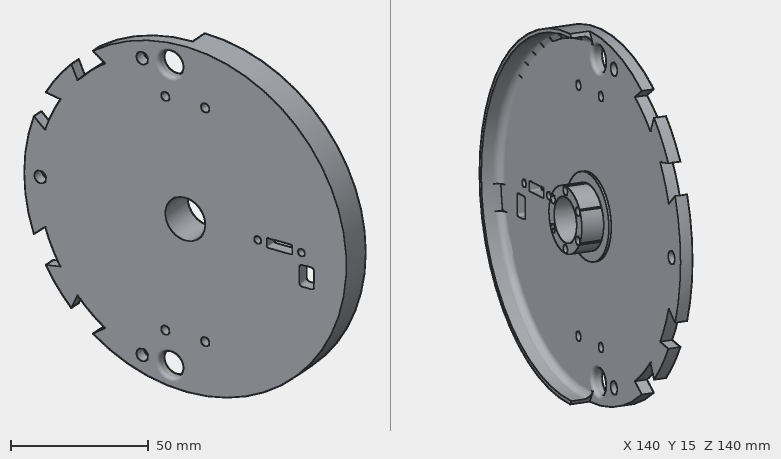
import cadquery as cq
import math

disc_radius = 70.0
plate_thickness = 5.0

rim_height = 13.0
rim_thickness = 1.5
rim_fillet = 3.0
rim_end_angle = 30.0

hub_radius = 12.65
hub_height = 15.0
pad_radius = 16.65
pad_height = 6.0
bore_radius = 8.65

hub_hole_count = 6
hub_hole_first_angle = 30.0
hub_hole_radius = 1.65
hub_hole_breakout = 0.02
hub_hole_circle_radius = hub_radius - hub_hole_radius + hub_hole_breakout

notch_root_radius = 64.0
notch_mouth_half_angle = 5.0
notch_root_half_angle = 7.0
notch_offsets = (25.0, 50.0)

large_hole_x = -6.5
large_hole_z = 61.0
large_hole_radius = 5.0
large_hole_rounding = 1.5

edge_hole_diameter = 5.0
edge_hole_circle_radius = 63.0
edge_hole_x = -18.7
mount_hole_diameter = 3.6
mount_hole_x = 8.65
mount_hole_z = 47.4

connector_x = 40.95
connector_length = 11.0
connector_width = 3.9
connector_corner = 0.5
connector_screw_spacing = 19.0
connector_screw_diameter = 3.0

socket_x = 52.75
socket_z = -9.3
socket_length = 6.3
socket_width = 8.8
socket_corner = 1.2
socket_body_margin = 0.6


def front_plane(y=0.0):
    """XZ workplane at depth y; negative extrusion runs toward +Y."""
    return cq.Workplane("XZ", origin=(0, y, 0))


def cylinder(radius, y_start, y_end, x=0.0, z=0.0):
    return front_plane(y_start).center(x, z).circle(radius).extrude(y_start - y_end)


def through_hole(diameter, x, z):
    return cylinder(diameter / 2, 0, plate_thickness, x, z)


def through_window(length, width, corner, x, z):
    window = front_plane().center(x, z).rect(length, width).extrude(-plate_thickness)
    return window.edges("|Y").fillet(corner)


def polar(radius, angle):
    return (radius * math.cos(math.radians(angle)), radius * math.sin(math.radians(angle)))


def make_rim():
    """Thin wall with a fillet to the plate, its ends slanted inward toward -X."""
    inner_radius = disc_radius - rim_thickness
    rim = cylinder(disc_radius, 0, rim_height)
    cavity = cylinder(inner_radius, plate_thickness, rim_height).faces("<Y").edges().fillet(rim_fillet)
    apex_x = -disc_radius * math.tan(math.radians(rim_end_angle))
    keep_region = (
        front_plane()
        .polyline([
            (0, disc_radius),
            (apex_x, 0),
            (0, -disc_radius),
            (disc_radius, -disc_radius),
            (disc_radius, disc_radius),
        ])
        .close()
        .extrude(-rim_height)
    )
    return rim.cut(cavity).intersect(keep_region)


def make_socket_clearance():
    """Slot on the plate surface running from the socket opening out to the rim wall."""
    inner_radius = disc_radius - rim_thickness
    x_start = socket_x - socket_length / 2
    slot = (
        front_plane(plate_thickness)
        .center((x_start + disc_radius) / 2, socket_z)
        .rect(disc_radius - x_start, socket_width + 2 * socket_body_margin)
        .extrude(plate_thickness - rim_height)
    )
    return slot.intersect(cylinder(inner_radius, plate_thickness, rim_height))


def make_notch(center_angle):
    """Dovetail wider at its curved root than at its mouth on the disc edge."""
    mouth_start = polar(disc_radius, center_angle - notch_mouth_half_angle)
    mouth_middle = polar(disc_radius, center_angle)
    mouth_end = polar(disc_radius, center_angle + notch_mouth_half_angle)
    root_start = polar(notch_root_radius, center_angle - notch_root_half_angle)
    root_middle = polar(notch_root_radius, center_angle)
    root_end = polar(notch_root_radius, center_angle + notch_root_half_angle)
    return (
        front_plane()
        .moveTo(*mouth_start)
        .lineTo(*root_start)
        .threePointArc(root_middle, root_end)
        .lineTo(*mouth_end)
        .threePointArc(mouth_middle, mouth_start)
        .close()
        .extrude(-plate_thickness)
    )


def make_large_hole(z):
    """Revolved cutter: a straight bore that flares tangentially into both plate faces."""
    flare_radius = large_hole_radius + large_hole_rounding
    arc_inset = large_hole_rounding * (1 - math.sqrt(0.5))
    arc_middle_radius = large_hole_radius + arc_inset
    return (
        cq.Workplane("XY", origin=(large_hole_x, 0, z))
        .moveTo(0, 0)
        .lineTo(flare_radius, 0)
        .threePointArc((arc_middle_radius, arc_inset), (large_hole_radius, large_hole_rounding))
        .lineTo(large_hole_radius, plate_thickness - large_hole_rounding)
        .threePointArc((arc_middle_radius, plate_thickness - arc_inset), (flare_radius, plate_thickness))
        .lineTo(0, plate_thickness)
        .close()
        .revolve(360, (0, 0, 0), (0, 1, 0))
    )


body = cylinder(disc_radius, 0, plate_thickness)
body = body.union(make_rim()).cut(make_socket_clearance())
body = body.union(cylinder(pad_radius, 0, pad_height))
body = body.union(cylinder(hub_radius, 0, hub_height))
body = body.cut(cylinder(bore_radius, 0, hub_height))

for index in range(hub_hole_count):
    hole_angle = hub_hole_first_angle + index * 360 / hub_hole_count
    hole_x, hole_z = polar(hub_hole_circle_radius, hole_angle)
    body = body.cut(cylinder(hub_hole_radius, pad_height, hub_height, hole_x, hole_z))

edge_hole_z = math.sqrt(edge_hole_circle_radius**2 - edge_hole_x**2)
for side in (1, -1):
    for offset in notch_offsets:
        body = body.cut(make_notch(180 + side * offset))
    body = body.cut(make_large_hole(side * large_hole_z))
    body = body.cut(through_hole(edge_hole_diameter, edge_hole_x, side * edge_hole_z))
    for x in (-mount_hole_x, mount_hole_x):
        body = body.cut(through_hole(mount_hole_diameter, x, side * mount_hole_z))

body = body.cut(through_hole(edge_hole_diameter, -edge_hole_circle_radius, 0))
body = body.cut(through_window(connector_length, connector_width, connector_corner, connector_x, 0))
for side in (1, -1):
    screw_x = connector_x + side * connector_screw_spacing / 2
    body = body.cut(through_hole(connector_screw_diameter, screw_x, 0))
body = body.cut(through_window(socket_length, socket_width, socket_corner, socket_x, socket_z))

result = body